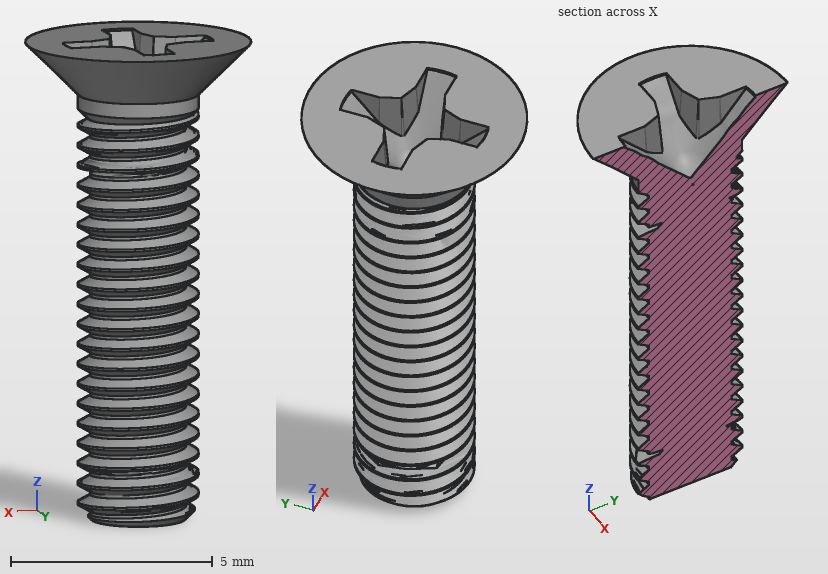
import cadquery as cq
import math

screw_length = 12.0
head_diameter = 5.6
thread_diameter = 3.0
head_radius = head_diameter / 2
thread_radius = thread_diameter / 2
head_height = head_radius - thread_radius
thread_top = -1.66

pitch = 0.5
flank_slope = math.tan(math.radians(30))
crest_flat = pitch / 8
thread_depth = 0.6134 * pitch
root_radius = thread_radius - thread_depth
ridge_sink = 0.05
spare_turns = 3
trim_margin = 0.5
top_crest_height = -0.58
tip_chamfer = 0.33

wing_count = 4
wing_span = 3.74
wing_width = 0.78
wing_root = 1.08
inner_corner = 0.575
recess_draft = 5.0
wing_end_depth = 0.05
floor_depth = 1.9


def make_head():
    """Countersunk head, plain neck and the 45 degree runout cone that fills the first groove."""
    runout_tip_radius = root_radius - ridge_sink
    runout_bottom = thread_top - (thread_radius - runout_tip_radius)
    return (
        cq.Workplane("XZ")
        .lineTo(head_radius, 0)
        .lineTo(thread_radius, -head_height)
        .lineTo(thread_radius, thread_top)
        .lineTo(runout_tip_radius, runout_bottom)
        .lineTo(0, runout_bottom)
        .close()
        .revolve(360, (0, 0, 0), (0, 1, 0))
    )


def make_thread_ridge():
    """Helical ridge sunk slightly into the core and running past both ends of the shank."""
    inner_radius = root_radius - ridge_sink
    half_crest = crest_flat / 2
    half_base = half_crest + (thread_radius - inner_radius) * flank_slope
    turns = math.ceil((screw_length + thread_top) / pitch) + spare_turns
    start_height = top_crest_height - turns * pitch
    helix = cq.Wire.makeHelix(pitch, turns * pitch, inner_radius)
    return (
        cq.Workplane("XZ", origin=(0, 0, start_height))
        .moveTo(inner_radius, -half_base)
        .lineTo(thread_radius, -half_crest)
        .lineTo(thread_radius, half_crest)
        .lineTo(inner_radius, half_base)
        .close()
        .sweep(cq.Workplane(helix.translate(cq.Vector(0, 0, start_height))), isFrenet=True)
    )


def make_threaded_shank():
    """Core and ridge joined, then trimmed to the threaded length with a chamfered tip."""
    core = (
        cq.Workplane("XY", origin=(0, 0, -screw_length - trim_margin))
        .circle(root_radius)
        .extrude(screw_length + trim_margin)
    )
    envelope = (
        cq.Workplane("XY", origin=(0, 0, -screw_length))
        .circle(thread_radius + trim_margin)
        .extrude(screw_length + thread_top)
        .faces("<Z")
        .chamfer(tip_chamfer + trim_margin)
    )
    return core.union(make_thread_ridge()).intersect(envelope)


def make_recess():
    """Four-winged drafted pocket with a pointed floor."""
    wing_end = wing_span / 2
    half_wing = wing_width / 2
    quarter = [
        (wing_end, -half_wing),
        (wing_end, half_wing),
        (wing_root, half_wing),
        (inner_corner, inner_corner),
        (half_wing, wing_root),
    ]
    outline = []
    for wing in range(wing_count):
        angle = wing * 2 * math.pi / wing_count
        cosine = math.cos(angle)
        sine = math.sin(angle)
        outline += [(x * cosine - y * sine, x * sine + y * cosine) for x, y in quarter]
    cross = cq.Workplane("XY").polyline(outline).close().extrude(-floor_depth, taper=recess_draft)
    floor = (
        cq.Workplane("XZ")
        .moveTo(0, 0)
        .lineTo(wing_end, 0)
        .lineTo(wing_end, -wing_end_depth)
        .lineTo(0, -floor_depth)
        .close()
        .revolve(360, (0, 0, 0), (0, 1, 0))
    )
    return cross.intersect(floor)


result = make_head().union(make_threaded_shank()).cut(make_recess())